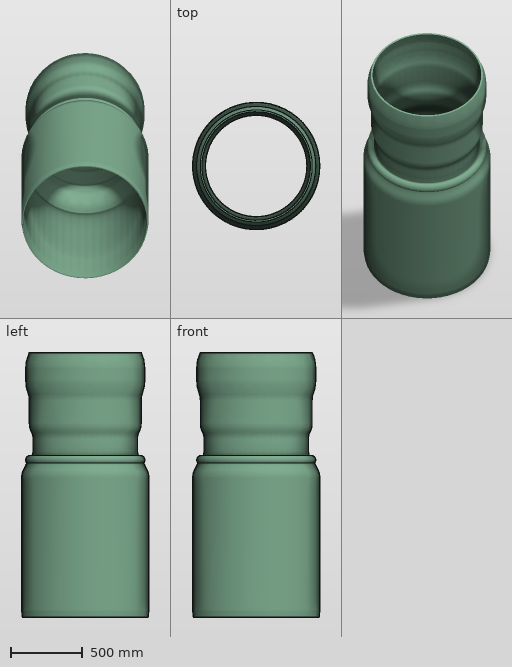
import cadquery as cq
import math

height = 1850.0
wall = 12.0

body_radius = 890.0 / 2
neck_radius = 730.0 / 2
socket_radius = 783.0 / 2
bell_radius = 833.0 / 2
mouth_radius = socket_radius

chamfer_height = 48.0
chamfer_depth = 5.0

body_top = 977.0
neck_bottom = 1167.0
neck_top = 1252.0
socket_bottom = 1355.0
socket_top = 1520.0
bell_bottom = 1654.0
bell_top = 1743.0

neck_bend_level = 1293.0
bell_bend_level = 1563.0

body_bend_radius = 115.0
neck_bend_radius = 115.0
body_rim_level = 1079.0

ring_tube_radius = 33.0
ring_centre_radius = bell_radius - ring_tube_radius
ring_level = 1099.0
ring_top_angle = 135
ring_bottom_angle = -60

body_bend_centre = body_radius - body_bend_radius
neck_bend_centre = neck_radius + neck_bend_radius
centre_run = neck_bend_centre - body_bend_centre
centre_rise = neck_bottom - body_top
bend_radius_sum = body_bend_radius - wall + neck_bend_radius
cone_angle = math.atan2(centre_rise, centre_run) - math.acos(
    bend_radius_sum / math.hypot(centre_run, centre_rise)
)


def body_bend_end(inset):
    """Upper end of the body's shoulder bend, for a wall surface moved inward by inset."""
    radius = body_bend_radius - inset
    return (
        body_bend_centre + radius * math.cos(cone_angle),
        body_top + radius * math.sin(cone_angle),
    )


def neck_bend_start(inset):
    """Lower end of the neck's shoulder bend, for a wall surface moved inward by inset."""
    radius = neck_bend_radius + inset
    return (
        neck_bend_centre - radius * math.cos(cone_angle),
        neck_bottom - radius * math.sin(cone_angle),
    )


def add_s_bend(profile, start, bend_level, end):
    """Join two vertical walls by opposite tangent arcs, which meet on the chord between them."""
    fraction = (bend_level - start[1]) / (end[1] - start[1])
    middle = (start[0] + fraction * (end[0] - start[0]), bend_level)
    return (
        profile.lineTo(*start)
        .tangentArcPoint(middle, relative=False)
        .tangentArcPoint(end, relative=False)
    )


def revolve_to_axis(profile, top):
    """Close a profile to the Z axis at the given level and revolve it."""
    return profile.lineTo(0, top).close().revolve(360, (0, 0), (0, 1))


def body_form(inset):
    """Solid inside the body pipe's wall surface, moved inward by inset."""
    radius = body_radius - inset
    bend_end = body_bend_end(inset)
    rim_radius = bend_end[0] - (body_rim_level - bend_end[1]) * math.tan(cone_angle)
    profile = (
        cq.Workplane("XZ")
        .lineTo(radius, 0)
        .lineTo(radius, body_top)
        .tangentArcPoint(bend_end, relative=False)
        .lineTo(rim_radius, body_rim_level)
    )
    return revolve_to_axis(profile, body_rim_level)


def neck_form(inset):
    """Solid inside the neck pipe's wall surface, moved inward by inset."""
    foot = body_radius - wall - inset
    neck = neck_radius - inset
    socket = socket_radius - inset
    bell = bell_radius - inset

    half_angle = cone_angle / 2
    foot_bend_radius = body_bend_radius - wall - inset
    foot_bend_middle = (
        body_bend_centre + foot_bend_radius * math.cos(half_angle),
        body_top + foot_bend_radius * math.sin(half_angle),
    )
    profile = (
        cq.Workplane("XZ")
        .moveTo(0, body_top)
        .lineTo(foot, body_top)
        .threePointArc(foot_bend_middle, body_bend_end(wall + inset))
        .lineTo(*neck_bend_start(inset))
        .tangentArcPoint((neck, neck_bottom), relative=False)
    )

    profile = add_s_bend(profile, (neck, neck_top), neck_bend_level, (socket, socket_bottom))
    profile = add_s_bend(profile, (socket, socket_top), bell_bend_level, (bell, bell_bottom))
    profile = profile.lineTo(bell, bell_top).tangentArcPoint((mouth_radius - inset, height), relative=False)
    return revolve_to_axis(profile, height)


def make_chamfer_cutter():
    """Ring of material outside the chamfered bottom edge."""
    return (
        cq.Workplane("XZ")
        .moveTo(body_radius - chamfer_depth, 0)
        .lineTo(body_radius, chamfer_height)
        .lineTo(body_radius, 0)
        .close()
        .revolve(360, (0, 0), (0, 1))
    )


def make_body_pipe():
    return body_form(0).cut(body_form(wall)).cut(make_chamfer_cutter())


def make_neck_pipe():
    return neck_form(0).cut(neck_form(wall))


def ring_point(angle):
    """Point on the ring's round section, at an angle in degrees from outward."""
    return (
        ring_centre_radius + ring_tube_radius * math.cos(math.radians(angle)),
        ring_level + ring_tube_radius * math.sin(math.radians(angle)),
    )


def make_sealing_ring():
    """Round-faced ring, trimmed to bed on the neck's cone and on the body's rim."""
    ring = (
        cq.Workplane("XZ")
        .moveTo(*ring_point(ring_top_angle))
        .threePointArc(ring_point(0), ring_point(ring_bottom_angle))
        .close()
        .revolve(360, (0, 0), (0, 1))
    )
    return ring.cut(neck_form(0)).cut(body_form(0))


body_pipe = make_body_pipe()
neck_pipe = make_neck_pipe()
sealing_ring = make_sealing_ring()

result = cq.Compound.makeCompound(
    [body_pipe.solids().val(), neck_pipe.solids().val(), sealing_ring.solids().val()]
)